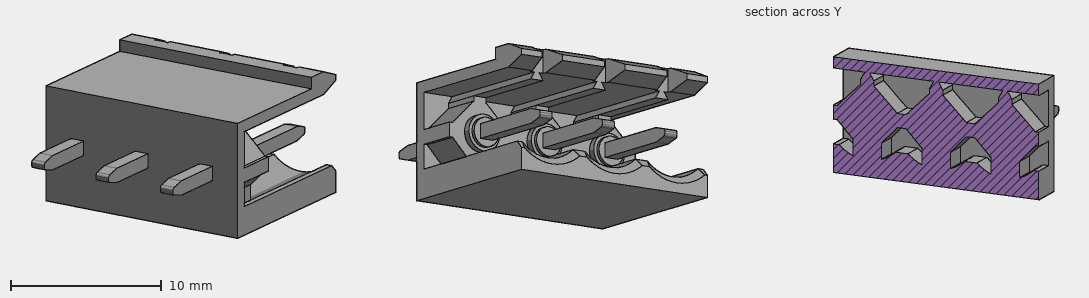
import cadquery as cq
import math

PIN_COUNT = 3
PITCH = 5.08
BODY_WIDTH = 15.13
BODY_DEPTH = 12.0
BODY_HEIGHT = 8.0
BACK_WALL = 0.85
FLOOR = 2.0
ROOF = 0.8
ROOF_UNDERSIDE = BODY_HEIGHT - ROOF
MOUTH_CHAMFER = 0.5

LIP_TOP = 8.8
LIP_BACK = 9.0
LIP_TAPER_START = 10.5
LIP_NOSE_DROP = 0.6
LIP_NOSE_TOP = LIP_TOP - LIP_NOSE_DROP
LIP_NOSE_BOTTOM = ROOF_UNDERSIDE + LIP_NOSE_DROP
NOTCH_BACK = 10.25
NOTCH_BACK_HALF_WIDTH = 0.5
NOTCH_MOUTH_HALF_WIDTH = 0.83

PIN_SIZE = 1.0
PIN_Z = 4.18
PIN_TAIL_Y = -4.8
PIN_TIP_Y = 11.3
PIN_TAPER_LENGTH = 1.0
PIN_TAPER_ANGLE = 15.0
PIN_TIP_RADIUS = 0.2
PIN_TOP = PIN_Z + PIN_SIZE / 2
PIN_BOTTOM = PIN_Z - PIN_SIZE / 2

TROUGH_RADIUS = 3.0

SUPPORT_FRONT = 3.75
SUPPORT_HALF_WIDTH = 2.23
SUPPORT_CROWN_HALF_WIDTH = 0.5
SUPPORT_CROWN_Z = 6.35
SUPPORT_LEG_HALF_WIDTH = 1.08
SUPPORT_LEG_Z = 2.5
COLLAR_STEPS = ((2.5, 0.5), (2.0, 0.25))

RIB_BOTTOM = 6.7
RIB_HALF_WIDTH = SUPPORT_CROWN_HALF_WIDTH
RIB_NECK_HALF_WIDTH = 0.2

PIN_POSITIONS = [(i - (PIN_COUNT - 1) / 2) * PITCH for i in range(PIN_COUNT)]


def extrude_along_x(points, width):
    """Prism from a (Y, Z) outline, centred on X = 0."""
    return cq.Workplane("YZ").polyline(points).close().extrude(width / 2, both=True)


def extrude_along_y(points, start, end):
    """Prism from an (X, Z) outline, running from Y = start to Y = end."""
    outline = cq.Workplane("XZ", origin=(0, start, 0)).polyline(points).close()
    return outline.extrude(start - end)


def mirrored(half_outline):
    """Close a right-hand outline with its mirror image about the first coordinate."""
    return half_outline + [(-u, v) for u, v in reversed(half_outline)]


def make_housing():
    """U-shaped housing: floor, back wall and roof with its latching lip."""
    return extrude_along_x(
        [
            (0, 0),
            (BODY_DEPTH, 0),
            (BODY_DEPTH, FLOOR - MOUTH_CHAMFER),
            (BODY_DEPTH - MOUTH_CHAMFER, FLOOR),
            (BACK_WALL, FLOOR),
            (BACK_WALL, ROOF_UNDERSIDE),
            (LIP_TAPER_START, ROOF_UNDERSIDE),
            (BODY_DEPTH, LIP_NOSE_BOTTOM),
            (BODY_DEPTH, LIP_NOSE_TOP),
            (LIP_TAPER_START, LIP_TOP),
            (LIP_BACK, LIP_TOP),
            (LIP_BACK, BODY_HEIGHT),
            (0, BODY_HEIGHT),
        ],
        BODY_WIDTH,
    )


def make_trough():
    """Cutter for one floor trough, flared by the mouth chamfer."""
    mouth_radius = TROUGH_RADIUS + MOUTH_CHAMFER
    half_profile = [
        (0, BACK_WALL),
        (TROUGH_RADIUS, BACK_WALL),
        (TROUGH_RADIUS, BODY_DEPTH - MOUTH_CHAMFER),
        (mouth_radius, BODY_DEPTH),
        (0, BODY_DEPTH),
    ]
    profile = cq.Workplane("XY").polyline(half_profile).close()
    cutter = profile.revolve(360, (0, 0), (0, 1)).translate((0, 0, PIN_Z))
    lower_half = cq.Workplane("XY").box(
        2 * mouth_radius, BODY_DEPTH, PIN_Z, centered=(True, False, False)
    )
    return cutter.intersect(lower_half)


def make_notch():
    """Cutter for one tapered notch through the lip."""
    outline = mirrored(
        [(NOTCH_BACK_HALF_WIDTH, NOTCH_BACK), (NOTCH_MOUTH_HALF_WIDTH, BODY_DEPTH)]
    )
    plane = cq.Workplane("XY").workplane(offset=ROOF_UNDERSIDE)
    return plane.polyline(outline).close().extrude(LIP_TOP - ROOF_UNDERSIDE)


def make_crossbar():
    """Bar at pin height that joins all supports across the full width."""
    return extrude_along_x(
        [
            (BACK_WALL, PIN_BOTTOM),
            (SUPPORT_FRONT, PIN_BOTTOM),
            (SUPPORT_FRONT, PIN_TOP),
            (BACK_WALL, PIN_TOP),
        ],
        BODY_WIDTH,
    )


def make_support():
    """Pin support between floor and rib, widest at the crossbar, with a stepped collar."""
    trough_bottom = PIN_Z - TROUGH_RADIUS
    outline = mirrored(
        [
            (SUPPORT_LEG_HALF_WIDTH, trough_bottom),
            (SUPPORT_LEG_HALF_WIDTH, SUPPORT_LEG_Z),
            (SUPPORT_HALF_WIDTH, PIN_BOTTOM),
            (SUPPORT_HALF_WIDTH, PIN_TOP),
            (SUPPORT_CROWN_HALF_WIDTH, SUPPORT_CROWN_Z),
            (SUPPORT_CROWN_HALF_WIDTH, RIB_BOTTOM),
        ]
    )
    support = extrude_along_y(outline, BACK_WALL, SUPPORT_FRONT)
    step_start = SUPPORT_FRONT
    for diameter, length in COLLAR_STEPS:
        plane = cq.Workplane("XZ", origin=(0, step_start, PIN_Z))
        support = support.union(plane.circle(diameter / 2).extrude(-length))
        step_start += length
    return support


def make_rib():
    """Dovetail rib under the roof, ending at the back of the notch."""
    outline = mirrored(
        [(RIB_HALF_WIDTH, RIB_BOTTOM), (RIB_NECK_HALF_WIDTH, ROOF_UNDERSIDE)]
    )
    return extrude_along_y(outline, BACK_WALL, NOTCH_BACK)


def make_pin():
    """Square pin, both ends tapered in height with rounded tips."""
    half = PIN_SIZE / 2
    tip_half = half - PIN_TAPER_LENGTH * math.tan(math.radians(PIN_TAPER_ANGLE))
    outline = [
        (PIN_TAIL_Y, PIN_Z - tip_half),
        (PIN_TAIL_Y + PIN_TAPER_LENGTH, PIN_BOTTOM),
        (PIN_TIP_Y - PIN_TAPER_LENGTH, PIN_BOTTOM),
        (PIN_TIP_Y, PIN_Z - tip_half),
        (PIN_TIP_Y, PIN_Z + tip_half),
        (PIN_TIP_Y - PIN_TAPER_LENGTH, PIN_TOP),
        (PIN_TAIL_Y + PIN_TAPER_LENGTH, PIN_TOP),
        (PIN_TAIL_Y, PIN_Z + tip_half),
    ]
    pin = extrude_along_x(outline, PIN_SIZE)
    return pin.faces("<Y or >Y").edges("|X").fillet(PIN_TIP_RADIUS)


result = make_housing()
for x in PIN_POSITIONS:
    for cutter in (make_trough(), make_notch()):
        result = result.cut(cutter.translate((x, 0, 0)))
result = result.union(make_crossbar())
for x in PIN_POSITIONS:
    for feature in (make_support(), make_rib(), make_pin()):
        result = result.union(feature.translate((x, 0, 0)))